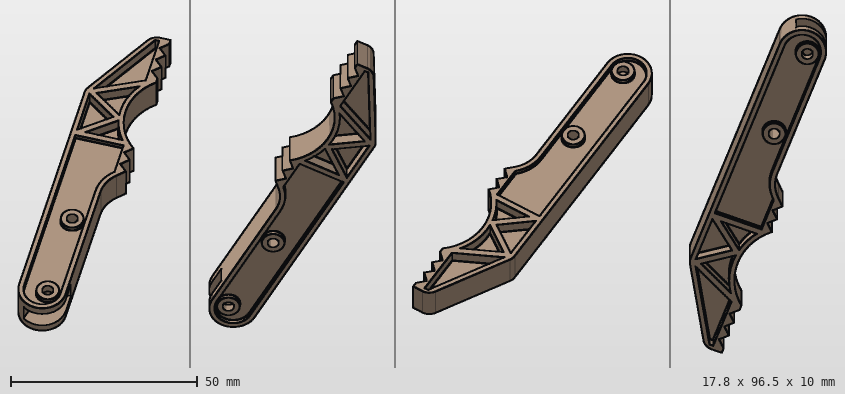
import cadquery as cq
import math

THICKNESS = 10.0
LENGTH = 96.5
SHANK_WIDTH = 13.0
JAW_X = 17.75
END_RADIUS = SHANK_WIDTH / 2

ELBOW_Y = 74.4
BACK_ANGLE = 60.0
ELBOW_RADIUS = 3.5
TIP_RADIUS = 3.5

TOOTH_HALF_PITCH = 2.0
TOOTH_DEPTH = 2.05
UPPER_TEETH_Y = 95.0
UPPER_VALLEYS = 3
LOWER_VALLEYS = 2
GRIP_RADIUS = 15.0
GRIP_CENTRE_Y = 70.1
GRIP_LEFT_X = 12.4
NECK_RADIUS = 9.0
FLANK_ANGLE = 45.0

WALL = 1.5
TOP_WALL = 1.25
POCKET_RIGHT_X = 14.75
RIB = 1.8
RIB_OVERRUN = RIB / 4
CROSS_RIB_Y = 59.7
HANDLE_POCKET_DEPTH = 1.25
JAW_POCKET_DEPTH = 3.5
RIM_CHAMFER = 0.12
FLOOR_CHAMFER = 0.15

NODE_ELBOW = (1.65, 74.15)
NODE_GRIP = (11.0, 67.45)
NODE_CROSS = (1.5, CROSS_RIB_Y)
NODE_JAW = (POCKET_RIGHT_X, 80.6)

PIVOT_X = 8.0
PIVOT_YS = (6.5, 31.5)
HOLE_DIAMETER = 3.0
BOSS_DIAMETER = 6.2

SLOT_HEIGHT = 5.0
SLOT_RADIUS = 12.45
SLOT_CENTRE = (15.1, -0.5)

TOP = THICKNESS / 2
BACK_SLOPE = math.tan(math.radians(BACK_ANGLE))
BACK_TOP_X = (LENGTH - ELBOW_Y) / BACK_SLOPE
GRIP_CENTRE_X = GRIP_LEFT_X + GRIP_RADIUS
GRIP_HALF_CHORD = math.sqrt(GRIP_RADIUS**2 - (GRIP_CENTRE_X - JAW_X) ** 2)
GRIP_TOP_Y = GRIP_CENTRE_Y + GRIP_HALF_CHORD
LOWER_TEETH_Y = GRIP_CENTRE_Y - GRIP_HALF_CHORD
NECK_TOP_Y = LOWER_TEETH_Y - 2 * TOOTH_HALF_PITCH * LOWER_VALLEYS
NECK_CENTRE_X = SHANK_WIDTH + NECK_RADIUS
NECK_END_X = NECK_CENTRE_X - NECK_RADIUS * math.cos(math.radians(FLANK_ANGLE))
NECK_END_Y = NECK_TOP_Y - (JAW_X - NECK_END_X) / math.tan(math.radians(FLANK_ANGLE))
NECK_CENTRE_Y = NECK_END_Y - NECK_RADIUS * math.sin(math.radians(FLANK_ANGLE))


def prism(sketch, bottom, top):
    """Extrude a closed XY sketch between two Z levels."""
    return sketch.extrude(top - bottom).translate((0, 0, bottom))


def cylinder(centre, radius, bottom, top):
    """Upright cylinder between two Z levels."""
    return prism(cq.Workplane("XY").center(*centre).circle(radius), bottom, top)


def teeth(sketch, top_y, valleys):
    """Add V-shaped valleys downwards from a tooth tip at top_y."""
    for index in range(valleys):
        valley_y = top_y - (2 * index + 1) * TOOTH_HALF_PITCH
        sketch = sketch.lineTo(JAW_X - TOOTH_DEPTH, valley_y)
        sketch = sketch.lineTo(JAW_X, valley_y - TOOTH_HALF_PITCH)
    return sketch


def neck_arc(sketch, radius, start_y):
    """Add an arc about the neck centre, from start_y down to where it runs along Y."""
    middle_y = (start_y + NECK_CENTRE_Y) / 2
    middle_x = NECK_CENTRE_X - math.sqrt(radius**2 - (middle_y - NECK_CENTRE_Y) ** 2)
    return sketch.threePointArc((middle_x, middle_y), (NECK_CENTRE_X - radius, NECK_CENTRE_Y))


def body():
    """Full-thickness outline of the shank and the toothed jaw."""
    sketch = cq.Workplane("XY").moveTo(0, ELBOW_Y).lineTo(BACK_TOP_X, LENGTH)
    sketch = sketch.lineTo(JAW_X, LENGTH).lineTo(JAW_X, UPPER_TEETH_Y)
    sketch = teeth(sketch, UPPER_TEETH_Y, UPPER_VALLEYS)
    sketch = sketch.lineTo(JAW_X, GRIP_TOP_Y)
    sketch = sketch.threePointArc((GRIP_LEFT_X, GRIP_CENTRE_Y), (JAW_X, LOWER_TEETH_Y))
    sketch = teeth(sketch, LOWER_TEETH_Y, LOWER_VALLEYS)
    sketch = neck_arc(sketch.lineTo(NECK_END_X, NECK_END_Y), NECK_RADIUS, NECK_END_Y)
    sketch = sketch.lineTo(SHANK_WIDTH, END_RADIUS)
    sketch = sketch.threePointArc((END_RADIUS, 0), (0, END_RADIUS)).close()
    solid = prism(sketch, -TOP, TOP)
    nearest = cq.selectors.NearestToPointSelector
    solid = solid.edges(nearest((0, ELBOW_Y, 0))).fillet(ELBOW_RADIUS)
    return solid.edges(nearest((BACK_TOP_X, LENGTH, 0))).fillet(TIP_RADIUS)


def handle_pocket():
    """Shallow pocket in the top of the shank, around the pivot bosses."""
    top_y = CROSS_RIB_Y - RIB / 2
    neck_radius = NECK_RADIUS + WALL
    neck_y = NECK_CENTRE_Y + math.sqrt(neck_radius**2 - (NECK_CENTRE_X - POCKET_RIGHT_X) ** 2)
    sketch = cq.Workplane("XY").moveTo(WALL, top_y).lineTo(POCKET_RIGHT_X, top_y)
    sketch = neck_arc(sketch.lineTo(POCKET_RIGHT_X, neck_y), neck_radius, neck_y)
    sketch = sketch.lineTo(SHANK_WIDTH - WALL, END_RADIUS)
    sketch = sketch.threePointArc((END_RADIUS, WALL), (WALL, END_RADIUS)).close()
    pocket = prism(sketch, TOP - HANDLE_POCKET_DEPTH, TOP)
    for y in PIVOT_YS:
        pocket = pocket.cut(cylinder((PIVOT_X, y), BOSS_DIAMETER / 2, -TOP, TOP))
    return pocket.faces("<Z").edges().chamfer(FLOOR_CHAMFER)


def rib(start, end):
    """Straight rib centred on the line from start to end, with an overrun at each end."""
    dx = end[0] - start[0]
    dy = end[1] - start[1]
    bar = cq.Workplane("XY").box(math.hypot(dx, dy) + 2 * RIB_OVERRUN, RIB, THICKNESS)
    bar = bar.rotate((0, 0, 0), (0, 0, 1), math.degrees(math.atan2(dy, dx)))
    return bar.translate(((start[0] + end[0]) / 2, (start[1] + end[1]) / 2, 0))


def jaw_pockets():
    """Four deeper pockets in the top of the jaw, separated by sloping ribs."""
    bottom_y = CROSS_RIB_Y + RIB / 2
    top_y = LENGTH - TOP_WALL
    shift = WALL / math.sin(math.radians(BACK_ANGLE))
    back_x = (top_y - ELBOW_Y) / BACK_SLOPE + shift
    elbow_y = ELBOW_Y + (WALL - shift) * BACK_SLOPE
    sketch = cq.Workplane("XY").moveTo(WALL, bottom_y).lineTo(WALL, elbow_y)
    sketch = sketch.lineTo(back_x, top_y).lineTo(POCKET_RIGHT_X, top_y)
    sketch = sketch.lineTo(POCKET_RIGHT_X, bottom_y).close()
    pockets = prism(sketch, TOP - JAW_POCKET_DEPTH, TOP)
    grip_centre = (GRIP_CENTRE_X, GRIP_CENTRE_Y)
    pockets = pockets.cut(cylinder(grip_centre, GRIP_RADIUS + WALL, -TOP, TOP))
    rib_ends = ((NODE_ELBOW, NODE_JAW), (NODE_ELBOW, NODE_GRIP), (NODE_GRIP, NODE_CROSS))
    for start, end in rib_ends:
        pockets = pockets.cut(rib(start, end))
    return pockets.faces("<Z").edges().chamfer(FLOOR_CHAMFER)


def pivot_holes():
    """Holes through the bosses."""
    centres = [(PIVOT_X, y) for y in PIVOT_YS]
    return prism(cq.Workplane("XY").pushPoints(centres).circle(HOLE_DIAMETER / 2), -TOP, TOP)


def end_slot():
    """Round slot at mid-thickness, open through the lower end and the right side."""
    return cylinder(SLOT_CENTRE, SLOT_RADIUS, -SLOT_HEIGHT / 2, SLOT_HEIGHT / 2)


result = body()
for pocket_cut in (handle_pocket(), jaw_pockets()):
    result = result.cut(pocket_cut).cut(pocket_cut.mirror("XY"))
result = result.faces("<Z or >Z").edges().chamfer(RIM_CHAMFER)
result = result.cut(pivot_holes()).cut(end_slot())